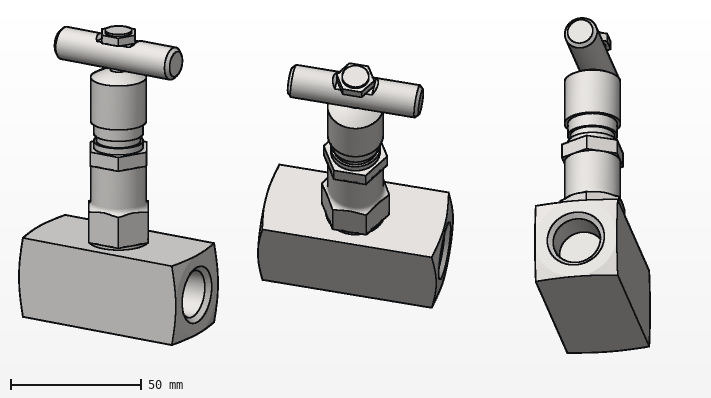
import cadquery as cq
import math

body_length = 69.9
body_side = 32.0
body_axis_z = body_side / 2
end_chamfer_angle = 15

port_mouth_diameter = 22.3
port_start_diameter = 18.4
port_end_diameter = 17.8
port_chamfer_depth = (port_mouth_diameter - port_start_diameter) / 2
port_depth = 13.6

bonnet_hex_bottom = 33.3
sleeve_bottom = 48.3
lock_nut_bottom = 64.3
lock_nut_top = 69.9
groove_bottom = 72.5
groove_top = 75.4
cap_bottom = 80.5
dome_bottom = 98.3
dome_top = 101.5

bonnet_hex_flats = 22.9
collar_diameter = 23.0
sleeve_diameter = 21.5
lock_nut_flats = 21.6
gland_diameter = 19.0
groove_diameter = 17.0
cap_diameter = 21.5
stem_diameter = 6.3

bar_length = 51.2
bar_diameter = 12.7
bar_axis_z = 107.9
bar_chamfer = 1.4
notch_floor_z = 112.7
notch_floor_half_length = 7.3
bolt_hex_bottom = 113.2
bolt_hex_flats = 12.8
bolt_hex_top = 116.5
bolt_face_diameter = 10.3
total_height = 117.3


def cylinder(diameter, bottom, top):
    """Vertical round step between two heights."""
    return cq.Workplane("XY", origin=(0, 0, bottom)).circle(diameter / 2).extrude(top - bottom)


def across_corners(flats):
    return flats / math.cos(math.pi / 6)


def hexagon(flats, bottom, top):
    """Vertical hexagonal prism with two corners on the X axis."""
    plane = cq.Workplane("XY", origin=(0, 0, bottom))
    return plane.polygon(6, across_corners(flats)).extrude(top - bottom)


def revolve_about_bore(outline):
    """Solid of revolution about the body axis from (x, radius) points."""
    profile = cq.Workplane("XY", origin=(0, 0, body_axis_z)).polyline(outline).close()
    return profile.revolve(360, (0, 0, 0), (1, 0, 0))


def make_body():
    half = body_length / 2
    end_radius = body_side / 2
    corner_radius = body_side
    cone_depth = (corner_radius - end_radius) * math.tan(math.radians(end_chamfer_angle))
    envelope = revolve_about_bore([
        (-half, 0),
        (-half, end_radius),
        (-half + cone_depth, corner_radius),
        (half - cone_depth, corner_radius),
        (half, end_radius),
        (half, 0),
    ])
    block = cq.Workplane("XY", origin=(0, 0, body_axis_z)).box(body_length, body_side, body_side)
    block = block.intersect(envelope)
    for side in (-1, 1):
        port = revolve_about_bore([
            (side * half, 0),
            (side * half, port_mouth_diameter / 2),
            (side * (half - port_chamfer_depth), port_start_diameter / 2),
            (side * (half - port_depth), port_end_diameter / 2),
            (side * (half - port_depth), 0),
        ])
        block = block.cut(port)
    return block


def make_bonnet():
    """Collar, hexagon hollowed into a flare around its top, and sleeve."""
    corner_radius = across_corners(bonnet_hex_flats) / 2
    flare_radius = corner_radius - sleeve_diameter / 2
    flare_diagonal = flare_radius * math.sqrt(0.5)
    flare_middle = (corner_radius - flare_diagonal, sleeve_bottom - flare_diagonal)
    flared_blank = (
        cq.Workplane("XZ")
        .moveTo(0, bonnet_hex_bottom)
        .lineTo(corner_radius, bonnet_hex_bottom)
        .lineTo(corner_radius, sleeve_bottom - flare_radius)
        .threePointArc(flare_middle, (sleeve_diameter / 2, sleeve_bottom))
        .lineTo(0, sleeve_bottom)
        .close()
        .revolve(360, (0, 0, 0), (0, 1, 0))
    )
    bonnet = hexagon(bonnet_hex_flats, bonnet_hex_bottom, sleeve_bottom).intersect(flared_blank)
    bonnet = bonnet.union(cylinder(collar_diameter, body_side, bonnet_hex_bottom))
    return bonnet.union(cylinder(sleeve_diameter, sleeve_bottom, lock_nut_bottom))


def make_gland():
    """Lock nut with the grooved gland above it."""
    gland = hexagon(lock_nut_flats, lock_nut_bottom, lock_nut_top)
    gland = gland.union(cylinder(gland_diameter, lock_nut_top, groove_bottom))
    gland = gland.union(cylinder(groove_diameter, groove_bottom, groove_top))
    return gland.union(cylinder(gland_diameter, groove_top, cap_bottom))


def make_cap():
    """Cap with a spherical top."""
    radius = cap_diameter / 2
    rise = dome_top - dome_bottom
    sphere_radius = (radius**2 + rise**2) / (2 * rise)
    sphere = cq.Workplane("XY", origin=(0, 0, dome_top - sphere_radius)).sphere(sphere_radius)
    return cylinder(cap_diameter, cap_bottom, dome_top).intersect(
        sphere.union(cylinder(cap_diameter, cap_bottom, dome_bottom))
    )


def make_handle():
    """Chamfered cross bar, notched on top to seat the bolt head."""
    bar = (
        cq.Workplane("YZ", origin=(-bar_length / 2, 0, bar_axis_z))
        .circle(bar_diameter / 2)
        .extrude(bar_length)
        .faces("<X or >X")
        .chamfer(bar_chamfer)
    )
    notch_depth = total_height - notch_floor_z
    notch_top_half = notch_floor_half_length + notch_depth
    notch = (
        cq.Workplane("XZ")
        .polyline([
            (-notch_floor_half_length, notch_floor_z),
            (notch_floor_half_length, notch_floor_z),
            (notch_top_half, total_height),
            (-notch_top_half, total_height),
        ])
        .close()
        .extrude(bar_diameter / 2, both=True)
    )
    return bar.cut(notch)


def make_bolt():
    """Hexagon head with a round face above and below."""
    bolt = hexagon(bolt_hex_flats, bolt_hex_bottom, bolt_hex_top)
    bolt = bolt.union(cylinder(bolt_face_diameter, notch_floor_z, bolt_hex_bottom))
    return bolt.union(cylinder(bolt_face_diameter, bolt_hex_top, total_height))


stem = cylinder(stem_diameter, dome_bottom, bar_axis_z)

result = make_body()
for piece in (make_bonnet(), make_gland(), make_cap(), stem, make_handle(), make_bolt()):
    result = result.union(piece)